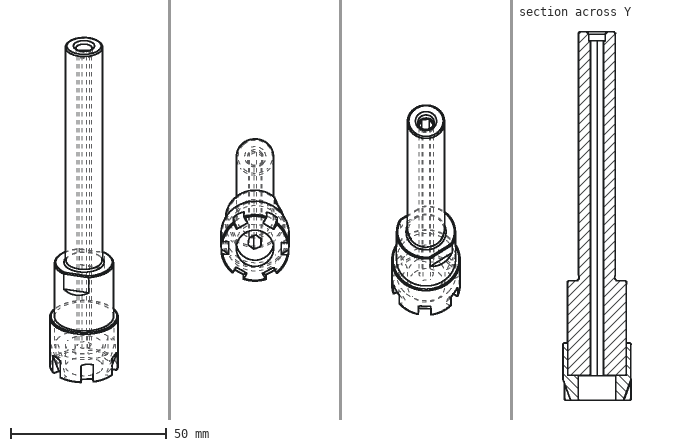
import cadquery as cq
import math

total_length = 118.5
shank_length = 80.0
shoulder_height = total_length - shank_length
nut_height = 18.5

shank_radius = 6.0
shank_chamfer = 0.5
body_radius = 9.5
body_chamfer = 0.4
holder_bottom = 8.0

undercut_radius = 5.8
undercut_height = 2.0
undercut_taper_height = 0.7
shoulder_flare_radius = 6.45

flat_distance = 8.5
flat_bottom = 32.5

hex_sides = 6
hex_across_flats = 4.1
screw_hole_radius = 2.6
screw_hole_depth = 3.0
countersink_radius = 3.4

nut_radius = 11.0
nut_chamfer = 0.4
nut_opening_radius = 6.0
first_slot_angle = -67.5
slot_count = 6
slot_width = 4.0
slot_height = 7.0
slot_floor_angle = 20.0


def make_holder_blank():
    """Turned outline of the holder, revolved about Z."""
    taper_bottom = shoulder_height + undercut_height - undercut_taper_height
    flare_height = shoulder_flare_radius - undercut_radius
    outline = (
        cq.Workplane("XZ")
        .moveTo(0, holder_bottom)
        .lineTo(body_radius, holder_bottom)
        .lineTo(body_radius, shoulder_height)
        .lineTo(shoulder_flare_radius, shoulder_height)
        .lineTo(undercut_radius, shoulder_height + flare_height)
        .lineTo(undercut_radius, taper_bottom)
        .lineTo(shank_radius, taper_bottom + undercut_taper_height)
        .lineTo(shank_radius, total_length - shank_chamfer)
        .lineTo(shank_radius - shank_chamfer, total_length)
        .lineTo(0, total_length)
        .close()
    )
    return outline.revolve(360, (0, 0, 0), (0, 1, 0))


def make_flat_cutter(side):
    """Prism beyond one wrench flat; side is -1 or +1 along Y."""
    depth = body_radius - flat_distance
    return (
        cq.Workplane("YZ")
        .polyline([
            (side * flat_distance, shoulder_height),
            (side * flat_distance, flat_bottom),
            (side * body_radius, flat_bottom - depth),
            (side * body_radius, shoulder_height),
        ])
        .close()
        .extrude(body_radius, both=True)
    )


def make_passage():
    """Hexagonal through passage with a round, countersunk entry at the shank end."""
    hexagon = (
        cq.Workplane("XY")
        .polygon(hex_sides, hex_across_flats / math.cos(math.pi / hex_sides))
        .extrude(total_length)
        .rotate((0, 0, 0), (0, 0, 1), 180 / hex_sides)
    )
    countersink_depth = countersink_radius - screw_hole_radius
    entry = (
        cq.Workplane("XZ")
        .moveTo(0, total_length)
        .lineTo(countersink_radius, total_length)
        .lineTo(screw_hole_radius, total_length - countersink_depth)
        .lineTo(screw_hole_radius, total_length - screw_hole_depth)
        .lineTo(0, total_length - screw_hole_depth)
        .close()
        .revolve(360, (0, 0, 0), (0, 1, 0))
    )
    return hexagon.union(entry)


def make_holder():
    """Holder with wrench flats, a chamfered shoulder rim and the passage along its axis."""
    holder = make_holder_blank()
    for side in (-1, 1):
        holder = holder.cut(make_flat_cutter(side))
    shoulder_box = cq.selectors.BoxSelector(
        (-2 * body_radius, -2 * body_radius, shoulder_height - body_chamfer),
        (2 * body_radius, 2 * body_radius, shoulder_height + body_chamfer),
        boundingbox=True,
    )
    shoulder_rim = holder.faces(shoulder_box).val().outerWire().Edges()
    holder = holder.newObject(shoulder_rim).chamfer(body_chamfer)
    return holder.cut(make_passage())


def make_slot_cutter(angle):
    """Spanner slot open at the nut face; its floor slopes outward and runs out at the nut surface."""
    floor_radius = nut_radius - slot_height * math.tan(math.radians(slot_floor_angle))
    return (
        cq.Workplane("XZ")
        .polyline([
            (floor_radius, 0),
            (nut_radius, slot_height),
            (nut_radius, 0),
        ])
        .close()
        .extrude(slot_width / 2, both=True)
        .rotate((0, 0, 0), (0, 0, 1), angle)
    )


def make_nut():
    """Nut bored to take the holder end, with a smaller opening and a ring of slots below."""
    nut = cq.Workplane("XY").circle(nut_radius).extrude(nut_height).edges().chamfer(nut_chamfer)
    holder_bore = (
        cq.Workplane("XY", origin=(0, 0, holder_bottom))
        .circle(body_radius)
        .extrude(nut_height - holder_bottom)
    )
    opening = cq.Workplane("XY").circle(nut_opening_radius).extrude(holder_bottom)
    nut = nut.cut(holder_bore).cut(opening)
    slot_pitch = 360 / slot_count
    for index in range(slot_count):
        nut = nut.cut(make_slot_cutter(first_slot_angle + index * slot_pitch))
    return nut


holder = make_holder()
nut = make_nut()
result = cq.Compound.makeCompound([holder.val(), nut.val()])